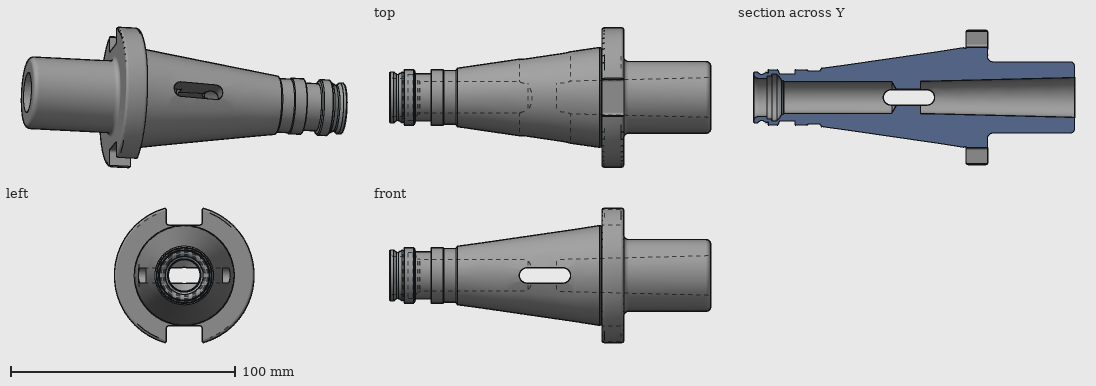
import cadquery as cq
import math

total_length = 143.4

tip_radius = 11.5
tip_chamfer = 0.5
tip_land_end = 1.7
tip_groove_radius = 10.3
tip_groove_start = 3.2
tip_groove_end = 3.9
tip_ridge_radius = 11.3
tip_ridge_position = 5.6
tip_end_radius = 11.0
tip_end = 6.5
collar_radius = 12.5
collar_chamfer = 0.3
front_collar_end = 11.2
front_collar_back_chamfer = 0.6
neck_radius = 10.6
neck_start = 11.6
rear_collar_start = 18.4
rear_collar_end = 24.2
relief_radius = 12.0
relief_end = 29.5

taper_start = 30.3
taper_end = 93.8
taper_large_radius = 22.4
root_relief_start = 94.4
root_relief_depth = 0.3
taper_radius_slope = 7 / 48
taper_small_radius = taper_large_radius - taper_radius_slope * (taper_end - taper_start)

flange_radius = 31.3
flange_start = 94.8
flange_end = 104.5
flange_fillet = 1.1
drive_slot_width = 16.0
drive_slot_floor = 22.5
drive_slot_corner_radius = 1.3
drive_slot_edge_chamfer = 0.7

nose_radius = 16.0
nose_fillet = 2.2

mouth_fillet = 2.0
counterbore_radius = 8.5
grip_lip_end = 6.0
grip_step_radius = 9.5
grip_step_end = 8.2
grip_groove_radius = 10.3
grip_groove_end = 10.3
grip_chamfer = 1.1
lead_in_radius = 7.5
lead_in_angle = 60
lead_in_length = 0.7
drawbar_bore_radius = 7.0
drawbar_bore_depth = 61.7
drill_tip_half_angle = 60

socket_mouth_radius = 8.9
socket_depth = 68.8
socket_radius_slope = 1 / 40
link_hole_radius = 3.6
cross_slot_start = 58.0
cross_slot_end = 80.7
cross_slot_height = 6.7


def make_body():
    return (
        cq.Workplane("XY")
        .moveTo(0, 0)
        .lineTo(0, tip_radius - tip_chamfer)
        .lineTo(tip_chamfer, tip_radius)
        .lineTo(tip_land_end, tip_radius)
        .lineTo(tip_groove_start, tip_groove_radius)
        .lineTo(tip_groove_end, tip_groove_radius)
        .lineTo(tip_ridge_position, tip_ridge_radius)
        .lineTo(tip_end, tip_end_radius)
        .lineTo(tip_end, collar_radius - collar_chamfer)
        .lineTo(tip_end + collar_chamfer, collar_radius)
        .lineTo(front_collar_end - front_collar_back_chamfer, collar_radius)
        .lineTo(front_collar_end, collar_radius - front_collar_back_chamfer)
        .lineTo(neck_start, neck_radius)
        .lineTo(rear_collar_start, neck_radius)
        .lineTo(rear_collar_start, collar_radius - collar_chamfer)
        .lineTo(rear_collar_start + collar_chamfer, collar_radius)
        .lineTo(rear_collar_end - collar_radius + relief_radius, collar_radius)
        .lineTo(rear_collar_end, relief_radius)
        .lineTo(relief_end, relief_radius)
        .lineTo(taper_start, taper_small_radius)
        .lineTo(taper_end, taper_large_radius)
        .lineTo(root_relief_start, taper_large_radius - root_relief_depth)
        .lineTo(flange_start, taper_large_radius - root_relief_depth)
        .lineTo(flange_start, nose_radius)
        .lineTo(total_length - nose_fillet, nose_radius)
        .radiusArc((total_length, nose_radius - nose_fillet), nose_fillet)
        .lineTo(total_length, 0)
        .close()
        .revolve(360, (0, 0, 0), (1, 0, 0))
    )


def make_flange():
    flange = (
        cq.Workplane("YZ")
        .workplane(offset=flange_start)
        .circle(flange_radius)
        .extrude(flange_end - flange_start)
        .edges()
        .fillet(flange_fillet)
    )
    root = (
        cq.Workplane("XY")
        .moveTo(flange_end, 0)
        .lineTo(flange_end, nose_radius + nose_fillet)
        .radiusArc((flange_end + nose_fillet, nose_radius), -nose_fillet)
        .lineTo(flange_end + nose_fillet, 0)
        .close()
        .revolve(360, (0, 0, 0), (1, 0, 0))
    )
    for side in (1, -1):
        flange = flange.cut(make_drive_slot(side))
    return flange.union(root)


def make_drive_slot(side):
    """Slot across the flange on the +Z (side 1) or -Z (side -1), flared where it meets the rim."""
    half_width = drive_slot_width / 2
    rim_height = math.sqrt(flange_radius**2 - half_width**2)
    flare_start = rim_height - drive_slot_edge_chamfer
    flare_height = flange_radius - flare_start
    flare_half_width = half_width + flare_height
    length = flange_end - flange_start
    slot = (
        cq.Workplane("YZ")
        .workplane(offset=flange_start)
        .rect(drive_slot_width, 2 * flange_radius)
        .extrude(length)
        .translate((0, 0, drive_slot_floor + flange_radius))
        .edges("|X and <Z")
        .fillet(drive_slot_corner_radius)
    )
    flare = (
        cq.Workplane("YZ")
        .workplane(offset=flange_start)
        .polyline(
            [
                (-half_width, flare_start),
                (half_width, flare_start),
                (flare_half_width, flange_radius),
                (-flare_half_width, flange_radius),
            ]
        )
        .close()
        .extrude(length)
    )
    slot = slot.union(flare)
    return slot if side > 0 else slot.mirror("XY")


def cone_depth(radius_drop, half_angle):
    """Length of a cone whose radius falls by radius_drop at half_angle degrees to the axis."""
    return radius_drop / math.tan(math.radians(half_angle))


def make_drawbar_bore():
    grip_chamfer_radius = grip_groove_radius - grip_chamfer
    grip_chamfer_end = grip_groove_end + grip_chamfer
    lead_in_start = grip_chamfer_end + cone_depth(grip_chamfer_radius - lead_in_radius, lead_in_angle)
    lead_in_end = lead_in_start + lead_in_length
    bore_start = lead_in_end + lead_in_radius - drawbar_bore_radius
    tip_depth = cone_depth(drawbar_bore_radius, drill_tip_half_angle)
    return (
        cq.Workplane("XY")
        .moveTo(0, 0)
        .lineTo(0, counterbore_radius + mouth_fillet)
        .radiusArc((mouth_fillet, counterbore_radius), -mouth_fillet)
        .lineTo(grip_lip_end, counterbore_radius)
        .lineTo(grip_lip_end, grip_step_radius)
        .lineTo(grip_step_end, grip_step_radius)
        .lineTo(grip_step_end, grip_groove_radius)
        .lineTo(grip_groove_end, grip_groove_radius)
        .lineTo(grip_chamfer_end, grip_chamfer_radius)
        .lineTo(lead_in_start, lead_in_radius)
        .lineTo(lead_in_end, lead_in_radius)
        .lineTo(bore_start, drawbar_bore_radius)
        .lineTo(drawbar_bore_depth, drawbar_bore_radius)
        .lineTo(drawbar_bore_depth + tip_depth, 0)
        .close()
        .revolve(360, (0, 0, 0), (1, 0, 0))
    )


def make_socket():
    socket_end_radius = socket_mouth_radius - socket_radius_slope * socket_depth
    return (
        cq.Workplane("XY")
        .moveTo(total_length, 0)
        .lineTo(total_length, socket_mouth_radius)
        .lineTo(total_length - socket_depth, socket_end_radius)
        .lineTo(total_length - socket_depth, 0)
        .close()
        .revolve(360, (0, 0, 0), (1, 0, 0))
    )


def make_link_hole():
    """Small hole joining the drawbar bore to the tool socket."""
    return (
        cq.Workplane("YZ")
        .workplane(offset=drawbar_bore_depth)
        .circle(link_hole_radius)
        .extrude(total_length - socket_depth - drawbar_bore_depth)
    )


def make_cross_slot():
    return (
        cq.Workplane("XZ")
        .center((cross_slot_start + cross_slot_end) / 2, 0)
        .slot2D(cross_slot_end - cross_slot_start, cross_slot_height)
        .extrude(taper_large_radius, both=True)
    )


result = (
    make_body()
    .union(make_flange())
    .cut(make_drawbar_bore())
    .cut(make_socket())
    .cut(make_link_hole())
    .cut(make_cross_slot())
)